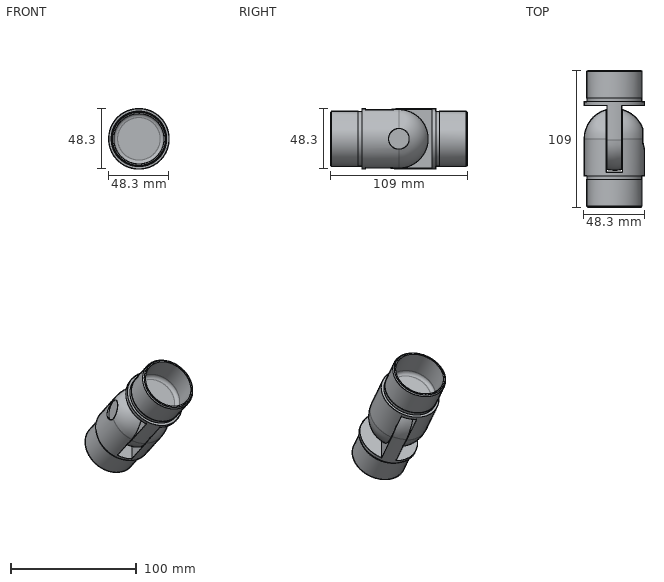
import cadquery as cq
import math

total_length = 109.0
half_length = total_length / 2
joint_radius = 48.3 / 2

spigot_radius = 44.3 / 2
spigot_length = 22.0
spigot_chamfer = 1.0
relief_radius = 43.8 / 2
relief_length = 2.9
flange_thickness = 3.0

bore_radius = 40.0 / 2
bore_depth = 24.0
bore_fillet = 3.0

tongue_thickness = 12.0
tongue_overrun = 1.0
slot_width = 12.8

recess_radius = 16.5 / 2
recess_depth = 1.6

relief_outer = half_length - spigot_length
flange_outer = relief_outer - relief_length
flange_inner = flange_outer - flange_thickness


def domed_half(dome_center):
    """Solid half along +Y: spigot, relief, full-diameter body and a dome towards -Y."""
    dome_reach = joint_radius * math.sqrt(0.5)
    outline = (
        cq.Workplane("XY")
        .moveTo(0, half_length)
        .lineTo(spigot_radius - spigot_chamfer, half_length)
        .lineTo(spigot_radius, half_length - spigot_chamfer)
        .lineTo(spigot_radius, relief_outer)
        .lineTo(relief_radius, relief_outer)
        .lineTo(relief_radius, flange_outer)
        .lineTo(joint_radius, flange_outer)
        .lineTo(joint_radius, dome_center)
        .threePointArc((dome_reach, dome_center - dome_reach), (0, dome_center - joint_radius))
        .close()
    )
    return outline.revolve(360, (0, 0, 0), (0, 1, 0))


def spigot_bore():
    """Blind bore from the +Y end, with a rounded floor corner."""
    bore = cq.Workplane("XZ", origin=(0, half_length, 0)).circle(bore_radius).extrude(bore_depth)
    return bore.faces("<Y").edges().fillet(bore_fillet)


def slab_below_flange(thickness):
    """Slab centred on X = 0 that runs from the inner flange face past the dome."""
    slab = cq.Workplane("XY").box(thickness, total_length, total_length)
    return slab.translate((0, flange_inner - half_length, 0))


def make_tongue():
    """Half at +Y whose body is thinned to a round-ended tongue."""
    cheek_space = slab_below_flange(total_length).cut(slab_below_flange(tongue_thickness))
    return domed_half(-tongue_overrun).cut(cheek_space).cut(spigot_bore())


def make_fork():
    """Half at -Y with a domed body, slotted for the tongue."""
    fork = domed_half(0).cut(slab_below_flange(slot_width)).cut(spigot_bore())
    fork = fork.rotate((0, 0, 0), (0, 0, 1), 180)
    recess = (
        cq.Workplane("YZ", origin=(joint_radius - recess_depth, 0, 0))
        .circle(recess_radius)
        .extrude(2 * recess_depth)
    )
    return fork.cut(recess)


tongue = make_tongue()
fork = make_fork()

result = cq.Compound.makeCompound([tongue.solids().val(), fork.solids().val()])